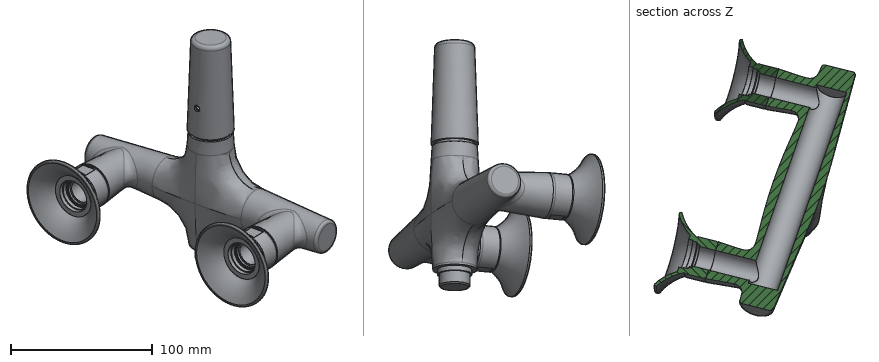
import cadquery as cq
import math


hub_half_depth = 18.0
hub_half_width = 39.5
hub_top = 40.0
hub_bottom = -37.7
arm_root_radius = 16.3
trunk_top_radius = 16.7
trunk_bottom_radius = 15.6

arm_end = 103.5
arm_tip_radius = 12.5
arm_end_fillet = 2.4
passage_radius = 10.7
passage_half_length = 85.5

leg_spacing = 149.8
leg_end = -40.9
leg_root_radius = 13.0
leg_end_radius = 16.3
leg_fillet = 6.5
inlet_radius = 8.3

trunk_top = 50.7
trunk_rim_radius = 16.0
neck_radius = 14.3
trunk_base = -39.2
trunk_base_radius = 15.5
collar_radius = 12.2
collar_base = -42.5
outlet_radius = 11.0
outlet_base = -51.8
outlet_chamfer = 1.0

handle_bottom = 52.9
handle_top = 126.0
handle_bottom_radius = 16.7
handle_top_radius = 14.1
handle_fillet = 3.2
screw_height = 75.7
screw_head_radius = 2.4
screw_head_depth = 2.1
screw_radius = 1.3
screw_depth = 6.5

rose_radius = 32.0
wall_plane = -74.0
sleeve_radius = 16.3
sleeve_end = -56.5
sleeve_lead_fillet = 1.7
sleeve_end_chamfer = 1.0
flare_neck_radius = 15.6
flare_edge = -72.1
rim_inner_radius = 30.4
rim_fillet = 0.9
ring_face = -61.6
ring_face_radius = 15.8
bore_steps = [(12.0, -58.5), (11.3, -55.2), (10.5, -54.5), (9.6, -52.6)]
flare_outer_middle = (21.6, -64.5)
flare_inner_middle = (21.5, -68.0)
flat_size = 10.7
flat_middle = -48.8
flat_cutter_height = 4.3


def axis_cone(origin, direction, start_radius, end_radius, length):
    """A truncated cone that starts at origin and runs along direction."""
    cone = cq.Solid.makeCone(start_radius, end_radius, length, cq.Vector(*origin), cq.Vector(*direction))
    return cq.Workplane(cone)


def axis_cylinder(origin, direction, radius, length):
    """A cylinder that starts at origin and runs along direction."""
    return cq.Workplane(cq.Solid.makeCylinder(radius, length, cq.Vector(*origin), cq.Vector(*direction)))


def hub_patch(side, depth_side, trunk_z, trunk_radius):
    """One eighth of the hub skin: it fills the corner between an arm and one end of the trunk."""
    z_sign = math.copysign(1, trunk_z)

    def at(x, y, z):
        return cq.Vector(side * x, depth_side * y, z)

    def corner_point(turn, around):
        """Point on the rounded corner: turn runs from arm to trunk, around from middle plane to crest."""
        arm_share = math.cos(turn) ** 2
        depth = arm_share * arm_root_radius + (1 - arm_share) * trunk_radius
        x_axis = hub_half_width - trunk_radius * math.cos(around)
        z_axis = abs(trunk_z) - arm_root_radius * math.cos(around)
        x = hub_half_width - x_axis * math.sin(turn)
        z = abs(trunk_z) - z_axis * math.cos(turn)
        return at(x, depth * math.sin(around), z_sign * z)

    quarter = math.pi / 2
    eighth = math.pi / 4
    middle = at(0, hub_half_depth, 0)
    arm_crest = at(hub_half_width, arm_root_radius, 0)
    trunk_crest = at(0, trunk_radius, trunk_z)
    arm_side = corner_point(0, 0)
    trunk_side = corner_point(quarter, 0)
    corner_curve = [corner_point(quarter * step / 8, 0) for step in range(9)]
    edges = [
        cq.Edge.makeTangentArc(middle, at(1, 0, 0), arm_crest),
        cq.Edge.makeThreePointArc(arm_crest, corner_point(0, eighth), arm_side),
        cq.Edge.makeSpline(corner_curve, tangents=[at(-1, 0, 0), at(0, 0, z_sign)]),
        cq.Edge.makeThreePointArc(trunk_side, corner_point(quarter, eighth), trunk_crest),
        cq.Edge.makeTangentArc(middle, at(0, 0, z_sign), trunk_crest),
    ]
    guides = [corner_point(quarter * t, quarter * a) for t in (0.25, 0.5, 0.75) for a in (0.25, 0.5)]
    return cq.Face.makeNSidedSurface(edges, guides, degree=2)


def end_disc(radius, centre, normal):
    return cq.Face.makeFromWires(cq.Wire.makeCircle(radius, cq.Vector(*centre), cq.Vector(*normal)))


def make_hub():
    """The smooth cross, closed by a flat disc at each of its four ends."""
    faces = [
        hub_patch(side, depth_side, trunk_z, trunk_radius)
        for side in (-1, 1)
        for depth_side in (-1, 1)
        for trunk_z, trunk_radius in ((hub_top, trunk_top_radius), (hub_bottom, trunk_bottom_radius))
    ]
    faces += [end_disc(arm_root_radius, (side * hub_half_width, 0, 0), (side, 0, 0)) for side in (-1, 1)]
    faces.append(end_disc(trunk_top_radius, (0, 0, hub_top), (0, 0, 1)))
    faces.append(end_disc(trunk_bottom_radius, (0, 0, hub_bottom), (0, 0, -1)))
    return cq.Workplane(cq.Solid.makeSolid(cq.Shell.makeShell(faces)))


def make_arm(side):
    """A tapered arm with its leg, blended where they meet."""
    length = arm_end - hub_half_width
    arm = axis_cone((side * hub_half_width, 0, 0), (side, 0, 0), arm_root_radius, arm_tip_radius, length)
    tip = ">X" if side > 0 else "<X"
    leg = axis_cone((side * leg_spacing / 2, 0, 0), (0, -1, 0), leg_root_radius, leg_end_radius, -leg_end)
    joined = arm.union(leg)
    joint = cq.selectors.BoxSelector(
        (side * (hub_half_width + 2.1), leg_end + 2.1, -arm_root_radius),
        (side * (arm_end - 2.1), 0, arm_root_radius),
    )
    joined = joined.edges(joint).edges("not %LINE").fillet(leg_fillet)
    return joined.faces(tip).edges().fillet(arm_end_fillet)


def make_trunk_ends():
    """The collars and neck above and below the hub, turned about Z."""
    top = (
        cq.Workplane("XZ")
        .moveTo(0, hub_top)
        .lineTo(trunk_top_radius, hub_top)
        .lineTo(trunk_rim_radius, trunk_top)
        .lineTo(neck_radius, trunk_top)
        .lineTo(neck_radius, handle_bottom)
        .lineTo(0, handle_bottom)
        .close()
        .revolve(360, (0, 0, 0), (0, 1, 0))
    )
    bottom = (
        cq.Workplane("XZ")
        .moveTo(0, hub_bottom)
        .lineTo(trunk_bottom_radius, hub_bottom)
        .lineTo(trunk_base_radius, trunk_base)
        .lineTo(collar_radius, trunk_base)
        .lineTo(collar_radius, collar_base)
        .lineTo(outlet_radius, collar_base)
        .lineTo(outlet_radius, outlet_base + outlet_chamfer)
        .lineTo(outlet_radius - outlet_chamfer, outlet_base)
        .lineTo(0, outlet_base)
        .close()
        .revolve(360, (0, 0, 0), (0, 1, 0))
    )
    return top, bottom


def make_tap_body():
    tap = make_hub()
    for end in make_trunk_ends():
        tap = tap.union(end)
    for side in (-1, 1):
        tap = tap.union(make_arm(side))
    passage = cq.Workplane("YZ").circle(passage_radius).extrude(passage_half_length, both=True)
    tap = tap.cut(passage)
    for side in (-1, 1):
        inlet = axis_cylinder((side * leg_spacing / 2, 0, 0), (0, -1, 0), inlet_radius, -leg_end)
        tap = tap.cut(inlet)
    return tap


def make_handle():
    """A tapered grip with a stepped screw hole in its front."""
    height = handle_top - handle_bottom
    handle = axis_cone((0, 0, handle_bottom), (0, 0, 1), handle_bottom_radius, handle_top_radius, height)
    handle = handle.faces(">Z").edges().fillet(handle_fillet)
    front = -handle_bottom_radius
    for radius, depth in ((screw_head_radius, screw_head_depth), (screw_radius, screw_depth)):
        hole = axis_cylinder((0, front, screw_height), (0, 1, 0), radius, depth)
        handle = handle.cut(hole)
    return handle


def make_rose(side):
    """Turned about Y on its own axis, then moved onto the leg."""
    profile = (
        cq.Workplane("XY")
        .moveTo(inlet_radius, leg_end)
        .lineTo(sleeve_radius - sleeve_lead_fillet, leg_end)
        .radiusArc((sleeve_radius, leg_end - sleeve_lead_fillet), sleeve_lead_fillet)
        .lineTo(sleeve_radius, sleeve_end + sleeve_end_chamfer)
        .lineTo(flare_neck_radius, sleeve_end)
        .threePointArc(flare_outer_middle, (rose_radius, flare_edge))
        .lineTo(rose_radius, wall_plane + rim_fillet)
        .radiusArc((rose_radius - rim_fillet, wall_plane), rim_fillet)
        .lineTo(rim_inner_radius, wall_plane)
        .threePointArc(flare_inner_middle, (ring_face_radius, ring_face))
    )
    start = ring_face
    for radius, end in bore_steps:
        profile = profile.lineTo(radius, start).lineTo(radius, end)
        start = end
    rose = profile.lineTo(inlet_radius, start).close().revolve(360, (0, 0, 0), (0, 1, 0))
    flat_height = math.sqrt(sleeve_radius**2 - (flat_size / 2) ** 2)
    for z_sign in (-1, 1):
        cutter_middle = z_sign * (flat_height + flat_cutter_height / 2)
        cutter = cq.Workplane("XY").box(flat_size, flat_size, flat_cutter_height)
        rose = rose.cut(cutter.translate((0, flat_middle, cutter_middle)))
    return rose.translate((side * leg_spacing / 2, 0, 0))


tap_body = make_tap_body()
handle = make_handle()
roses = [make_rose(side) for side in (-1, 1)]
result = cq.Compound.makeCompound([tap_body.val(), handle.val(), *[rose.val() for rose in roses]])